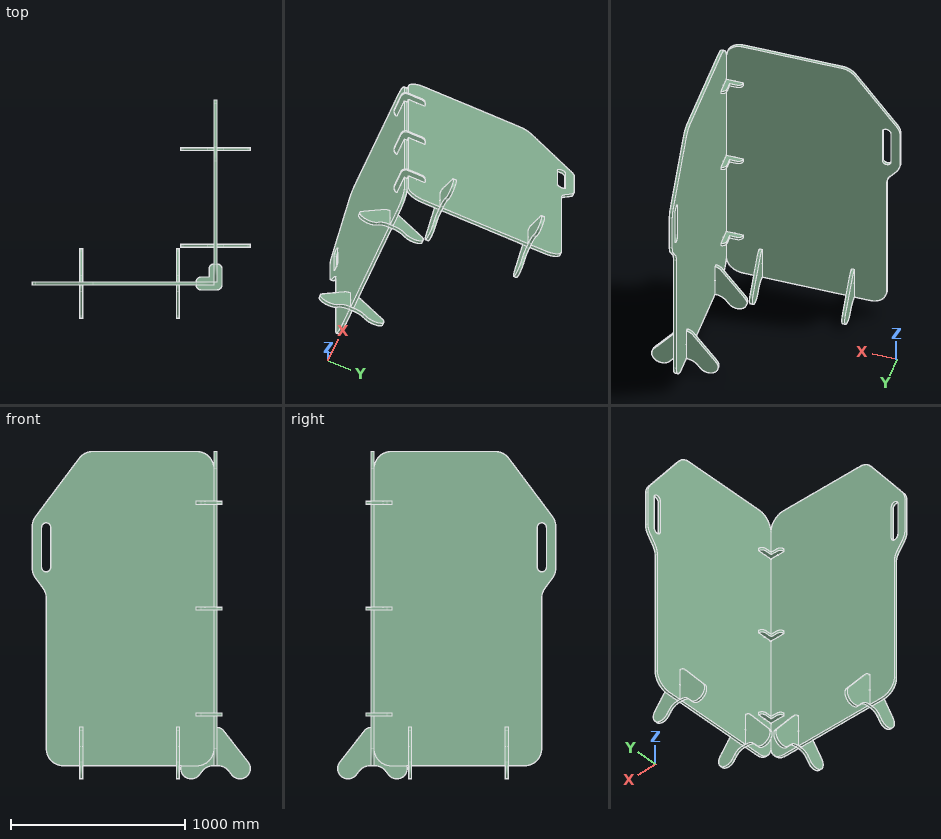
import cadquery as cq
import math


SHEET = 18.0
HALF_SHEET = SHEET / 2

PANEL_BOTTOM = 75.0
PANEL_TOP = 1880.0
PANEL_REACH = 1052.0
GRIP_OVERHANG = 80.0
GRIP_CENTER_Z = 1329.0
GRIP_HEIGHT = 303.0
GRIP_SLOPE = 4 / 3
PANEL_RADIUS = 100.0
HAND_SLOT_LENGTH = 280.0
HAND_SLOT_WIDTH = 50.0

COINCIDENT = 1.88e-05

BODY_REACH = PANEL_REACH - GRIP_OVERHANG

FOOT_SPAN = 400.0
FOOT_TOP = 297.0
FOOT_ARCH = PANEL_BOTTOM
LEG_RADIUS = 60.0
LEG_ANGLE = 52.0
FOOT_TOP_RADIUS = 50.0
FOOT_ARCH_RADIUS = 75.0
FOOT_LAP_Z = (PANEL_BOTTOM + FOOT_TOP) / 2
FOOT_REACHES = (216.0, 770.0)

ARM_WIDTH = 75.0
ARM_REACH = 113.0
BRACKET_RADIUS = 30.0
BRACKET_PITCH = 607.0
BRACKET_LAP = (HALF_SHEET + ARM_REACH) / 2
PANEL_MIDDLE_Z = (PANEL_BOTTOM + PANEL_TOP) / 2
BRACKET_HEIGHTS = [PANEL_MIDDLE_Z + step * BRACKET_PITCH for step in (-1, 0, 1)]


def rounded_sheet(plane, corners):
    """Sheet centred on a plane; each corner is (x, y, radius), radius 0 staying sharp."""
    outline = cq.Workplane(plane)
    last_point = None
    for index, (x, y, radius) in enumerate(corners):
        corner = cq.Vector(x, y)
        before = cq.Vector(*corners[index - 1][:2])
        after = cq.Vector(*corners[(index + 1) % len(corners)][:2])
        to_before = (before - corner).normalized()
        to_after = (after - corner).normalized()
        half_angle = to_before.getAngle(to_after) / 2
        setback = radius / math.tan(half_angle)
        arc_start = corner + to_before * setback
        arc_end = corner + to_after * setback
        to_center = (to_before + to_after).normalized()
        arc_middle = corner + to_center * (radius / math.sin(half_angle) - radius)

        if last_point is None:
            outline = outline.moveTo(arc_start.x, arc_start.y)
        elif (arc_start - last_point).Length > COINCIDENT:
            outline = outline.lineTo(arc_start.x, arc_start.y)
        if radius > 0:
            outline = outline.threePointArc((arc_middle.x, arc_middle.y), (arc_end.x, arc_end.y))
        last_point = arc_end
    return outline.close().extrude(HALF_SHEET, both=True)


def block(x_range, y_range, z_range):
    """Box between the given limits."""
    (x0, x1), (y0, y1), (z0, z1) = x_range, y_range, z_range
    return cq.Workplane("XY").box(x1 - x0, y1 - y0, z1 - z0, centered=False).translate((x0, y0, z0))


def onto_second_panel(body):
    """Turn a body of the panel along -X to the same place on the panel along +Y."""
    return body.rotate((0, 0, 0), (0, 0, 1), -90)


def make_panel():
    grip_top = GRIP_CENTER_Z + GRIP_HEIGHT / 2
    grip_bottom = GRIP_CENTER_Z - GRIP_HEIGHT / 2
    slope_top_reach = PANEL_REACH - (PANEL_TOP - grip_top) / GRIP_SLOPE
    neck_z = grip_bottom - GRIP_OVERHANG * GRIP_SLOPE
    panel = rounded_sheet("XZ", [
        (-HALF_SHEET, PANEL_BOTTOM, PANEL_RADIUS),
        (-HALF_SHEET, PANEL_TOP, PANEL_RADIUS),
        (-slope_top_reach, PANEL_TOP, PANEL_RADIUS),
        (-PANEL_REACH, grip_top, PANEL_RADIUS),
        (-PANEL_REACH, grip_bottom, PANEL_RADIUS),
        (-BODY_REACH, neck_z, PANEL_RADIUS),
        (-BODY_REACH, PANEL_BOTTOM, PANEL_RADIUS),
    ])

    hand_slot = (
        cq.Workplane("XZ")
        .center(-BODY_REACH, GRIP_CENTER_Z)
        .slot2D(HAND_SLOT_LENGTH, HAND_SLOT_WIDTH, 90)
        .extrude(SHEET, both=True)
    )
    panel = panel.cut(hand_slot)

    for reach in FOOT_REACHES:
        panel = panel.cut(block(
            (-reach - HALF_SHEET, -reach + HALF_SHEET), (-SHEET, SHEET), (0, FOOT_LAP_Z)))
    for z in BRACKET_HEIGHTS:
        panel = panel.cut(block((-BRACKET_LAP, 0), (-SHEET, SHEET), (z - HALF_SHEET, z + HALF_SHEET)))
    return panel


def make_foot(reach):
    """Foot of the panel along -X, at the given distance from the corner axis."""
    angle = math.radians(LEG_ANGLE)
    down_leg = cq.Vector(math.cos(angle), -math.sin(angle))
    across_leg = cq.Vector(math.sin(angle), math.cos(angle))
    toe_center = cq.Vector(FOOT_SPAN / 2 - LEG_RADIUS, LEG_RADIUS)
    outer_toe = toe_center + (down_leg + across_leg) * LEG_RADIUS
    inner_toe = toe_center + (down_leg - across_leg) * LEG_RADIUS
    shoulder_y = outer_toe.x - (FOOT_TOP - outer_toe.y) / math.tan(angle)
    arch_y = inner_toe.x - (FOOT_ARCH - inner_toe.y) / math.tan(angle)

    one_side = [
        (shoulder_y, FOOT_TOP, FOOT_TOP_RADIUS),
        (outer_toe.x, outer_toe.y, LEG_RADIUS),
        (inner_toe.x, inner_toe.y, LEG_RADIUS),
        (arch_y, FOOT_ARCH, FOOT_ARCH_RADIUS),
    ]
    other_side = [(-y, z, radius) for y, z, radius in reversed(one_side)]
    foot = rounded_sheet("YZ", one_side + other_side)

    lap_slot = block((-SHEET, SHEET), (-HALF_SHEET, HALF_SHEET), (FOOT_LAP_Z, PANEL_TOP))
    return foot.cut(lap_slot).translate((-reach, 0, 0))


def make_bracket(z):
    half_width = ARM_WIDTH / 2
    bracket = rounded_sheet("XY", [
        (half_width, -half_width, BRACKET_RADIUS),
        (half_width, ARM_REACH, BRACKET_RADIUS),
        (-half_width, ARM_REACH, BRACKET_RADIUS),
        (-half_width, half_width, 0),
        (-ARM_REACH, half_width, BRACKET_RADIUS),
        (-ARM_REACH, -half_width, BRACKET_RADIUS),
    ])

    lap_slot = block((-2 * ARM_REACH, -BRACKET_LAP), (-HALF_SHEET, HALF_SHEET), (-SHEET, SHEET))
    bracket = bracket.cut(lap_slot).cut(onto_second_panel(lap_slot))
    return bracket.translate((0, 0, z))


panel = make_panel()
panels = [panel, onto_second_panel(panel)]

feet = []
for foot_reach in FOOT_REACHES:
    foot = make_foot(foot_reach)
    feet += [foot, onto_second_panel(foot)]

brackets = [make_bracket(z) for z in BRACKET_HEIGHTS]

result = cq.Compound.makeCompound([body.val() for body in panels + feet + brackets])